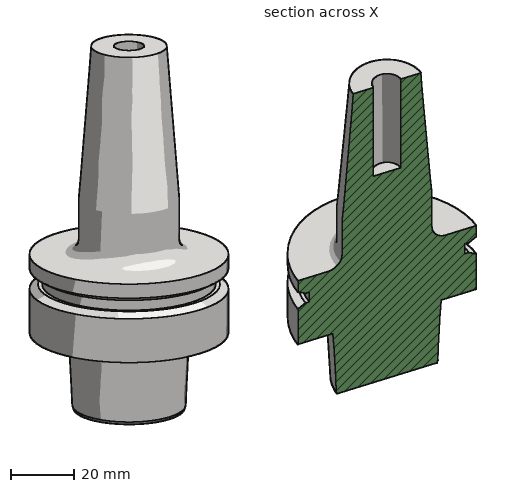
import cadquery as cq
import math

total_height = 120.0
flange_bottom = 25.0
groove_bottom = 41.0
groove_top = 44.8
flange_top = 51.0
fillet_top = 55.9
neck_top = 69.4

flange_radius = 63.0 / 2
groove_radius = 27.5
groove_ledge_radius = 28.8
shank_bottom_radius = 18.0
shank_top_radius = 19.2
neck_radius = 16.0
nose_radius = 12.0
bore_radius = 4.8

shank_chamfer_width = 0.4
shank_chamfer_height = 1.0
groove_chamfer_angle = 30.0
fillet_radius = fillet_top - flange_top
bore_depth = 36.0
groove_chamfer_width = flange_radius - groove_ledge_radius
groove_chamfer_height = groove_chamfer_width * math.tan(math.radians(groove_chamfer_angle))


def make_body():
    """Revolve the outer half profile about the Z axis."""
    diagonal = fillet_radius * (1 - 0.5**0.5)
    profile = (
        cq.Workplane("XZ")
        .lineTo(shank_bottom_radius - shank_chamfer_width, 0)
        .lineTo(shank_bottom_radius, shank_chamfer_height)
        .lineTo(shank_top_radius, flange_bottom)
        .lineTo(flange_radius, flange_bottom)
        .lineTo(flange_radius, groove_bottom - groove_chamfer_height)
        .lineTo(groove_ledge_radius, groove_bottom)
        .lineTo(groove_radius, groove_bottom)
        .lineTo(groove_radius, groove_top)
        .lineTo(groove_ledge_radius, groove_top)
        .lineTo(flange_radius, groove_top + groove_chamfer_height)
        .lineTo(flange_radius, flange_top)
        .lineTo(neck_radius + fillet_radius, flange_top)
        .threePointArc((neck_radius + diagonal, flange_top + diagonal), (neck_radius, fillet_top))
        .lineTo(neck_radius, neck_top)
        .lineTo(nose_radius, total_height)
        .lineTo(0, total_height)
        .close()
    )
    return profile.revolve(360, (0, 0, 0), (0, 1, 0))


def make_bore():
    """Blind tool bore entering from the top face."""
    floor = cq.Workplane("XY").workplane(offset=total_height - bore_depth)
    return floor.circle(bore_radius).extrude(bore_depth)


result = make_body().cut(make_bore())